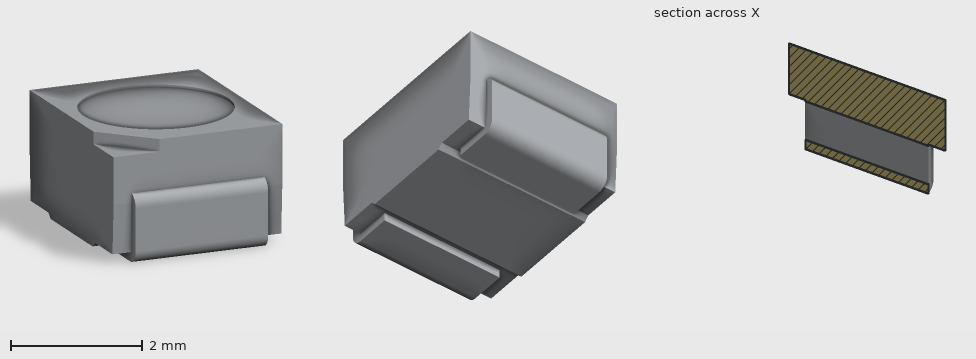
import cadquery as cq
import math

overall_length = 3.5
overall_height = 1.9
body_width = 2.8

lead_thickness = 0.15
lead_width = 2.2
lead_top = 1.1
foot_length = 0.8
bend_outer_radius = 0.2
bend_inner_radius = bend_outer_radius - lead_thickness
lead_embedment = 0.2

body_length = overall_length - 2 * lead_thickness
ledge_height = lead_thickness
belly_height = 0.07
belly_length = 1.6
draft_angle = 3
draft_top = lead_top - lead_thickness

window_diameter = 2.4
window_depth = 0.05
corner_leg = 0.765
corner_depth = 0.2


def make_body():
    """Body section in XZ, with drafted ends and a raised belly, extruded along Y."""
    half_length = body_length / 2
    ledge_end = half_length - (draft_top - ledge_height) * math.tan(math.radians(draft_angle))
    half_belly = belly_length / 2
    belly_chamfer = ledge_height - belly_height
    right_side = [
        (half_belly, belly_height),
        (half_belly + belly_chamfer, ledge_height),
        (ledge_end, ledge_height),
        (half_length, draft_top),
        (half_length, overall_height),
    ]
    left_side = [(-x, z) for x, z in reversed(right_side)]
    return (
        cq.Workplane("XZ")
        .polyline(right_side + left_side)
        .close()
        .extrude(body_width / 2, both=True)
    )


def make_right_lead():
    """C-shaped lead: arm entering the body, upright, and foot under the ledge."""
    outer_x = overall_length / 2
    inner_x = outer_x - lead_thickness
    bend_x = outer_x - bend_outer_radius
    upper_bend_z = lead_top - bend_outer_radius
    lower_bend_z = bend_outer_radius
    foot_end_x = outer_x - foot_length
    arm_end_x = bend_x - lead_embedment
    outer_diagonal = bend_outer_radius * math.sqrt(0.5)
    inner_diagonal = bend_inner_radius * math.sqrt(0.5)
    return (
        cq.Workplane("XZ")
        .moveTo(arm_end_x, lead_top)
        .lineTo(bend_x, lead_top)
        .threePointArc((bend_x + outer_diagonal, upper_bend_z + outer_diagonal), (outer_x, upper_bend_z))
        .lineTo(outer_x, lower_bend_z)
        .threePointArc((bend_x + outer_diagonal, lower_bend_z - outer_diagonal), (bend_x, 0))
        .lineTo(foot_end_x, 0)
        .lineTo(foot_end_x, lead_thickness)
        .lineTo(bend_x, lead_thickness)
        .threePointArc((bend_x + inner_diagonal, lower_bend_z - inner_diagonal), (inner_x, lower_bend_z))
        .lineTo(inner_x, upper_bend_z)
        .threePointArc(
            (bend_x + inner_diagonal, upper_bend_z + inner_diagonal),
            (bend_x, lead_top - lead_thickness),
        )
        .lineTo(arm_end_x, lead_top - lead_thickness)
        .close()
        .extrude(lead_width / 2, both=True)
    )


def make_window():
    """Shallow round recess in the top face."""
    return (
        cq.Workplane("XY", origin=(0, 0, overall_height - window_depth))
        .circle(window_diameter / 2)
        .extrude(window_depth)
    )


def make_corner_notch():
    """Triangular step that marks the +X, -Y corner of the top face."""
    corner_x = body_length / 2
    corner_y = -body_width / 2
    return (
        cq.Workplane("XY", origin=(0, 0, overall_height - corner_depth))
        .moveTo(corner_x, corner_y)
        .lineTo(corner_x, corner_y + corner_leg)
        .lineTo(corner_x - corner_leg, corner_y)
        .close()
        .extrude(corner_depth)
    )


right_lead = make_right_lead()
left_lead = right_lead.mirror("YZ")

result = (
    make_body()
    .cut(make_window())
    .cut(make_corner_notch())
    .union(right_lead)
    .union(left_lead)
)